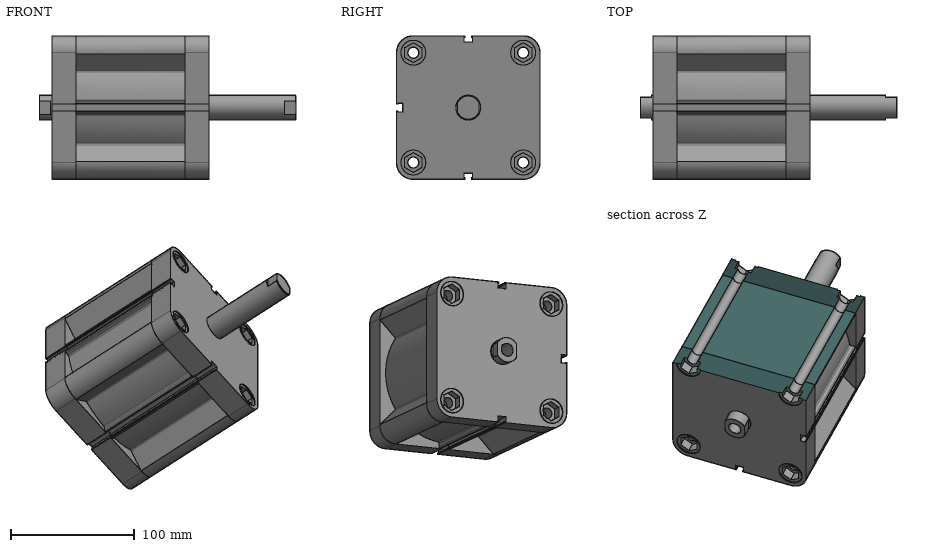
import cadquery as cq
import math


total_length = 207.0
cap_thickness = 19.5
barrel_length = 88.0
rear_stub = 10.0
rear_x = -total_length / 2
rear_cap_x = rear_x + rear_stub
barrel_x = rear_cap_x + cap_thickness
front_cap_x = barrel_x + barrel_length

side = 116.0
half_side = side / 2
corner_radius = 13.7
bolt_offset = half_side - corner_radius

bolt_hole_diameter = 8.7
hex_across_flats = 13.9
hex_depth = 8.7
recess_diameter = 20.0
recess_depth = 0.8

barrel_radius = 53.0
rib_width = 20.7
rib_turns = (45, 135, 225, 315)
root_fillet = 1.0
rail_width = 10.5
rail_height = 57.5
rail_edge_fillet = 1.0
mouth_bevel = 0.6

slot_mouth_width = 5.5
slot_inner_width = 6.8
slot_lip = 1.0
slot_depth = 5.0
slot_turns = (0, 90, 180)

rod_diameter = 20.0
rod_flat_spacing = 17.0
rear_flat_length = 9.0
front_flat_length = 9.3
front_chamfer = 0.6
tap_diameter = 10.5
tap_depth = 20.7
drill_point_angle = 118.0


def bar(x_start, length, width, z_low, z_high):
    """Rectangular bar along X, centred on Y = 0."""
    block = cq.Workplane("XY").box(length, width, z_high - z_low, centered=(False, True, False))
    return block.translate((x_start, 0, z_low))


def cylinder(x_start, length, diameter):
    """Round bar along the X axis."""
    return cq.Workplane("YZ").workplane(offset=x_start).circle(diameter / 2).extrude(length)


def about_x(shape, angle):
    """The shape turned about the X axis."""
    return shape.rotate((0, 0, 0), (1, 0, 0), angle)


def at_corners(x_start):
    """Workplane facing +X with the four bolt centres on its stack."""
    pitch = 2 * bolt_offset
    return cq.Workplane("YZ").workplane(offset=x_start).rect(pitch, pitch, forConstruction=True).vertices()


def square_block(x_start, length):
    """Square bar with rounded corners."""
    block = bar(x_start, length, side, -half_side, half_side)
    return block.edges("|X").fillet(corner_radius)


def t_slots(x_start, length, mouth_height):
    """Cutters for the three T-slots whose mouths lie at mouth_height from the axis."""
    floor = mouth_height - slot_depth
    neck = bar(x_start, length, slot_mouth_width, floor, mouth_height)
    undercut = bar(x_start, length, slot_inner_width, floor, mouth_height - slot_lip)
    slot = neck.union(undercut)
    cutters = cq.Workplane("YZ")
    for turn in slot_turns:
        cutters = cutters.add(about_x(slot, turn))
    return cutters.combine()


def make_cap(x_start, outward):
    """End cap; outward is -1 or +1, the X side that carries the hex openings."""
    cap = square_block(x_start, cap_thickness)
    cap = cap.cut(t_slots(x_start, cap_thickness, half_side))
    cap = cap.cut(cylinder(x_start, cap_thickness, rod_diameter))
    cap = cap.cut(at_corners(x_start).circle(bolt_hole_diameter / 2).extrude(cap_thickness))

    outer_x = x_start if outward < 0 else x_start + cap_thickness
    recess = at_corners(outer_x).circle(recess_diameter / 2).extrude(-outward * recess_depth)
    hex_diameter = hex_across_flats / math.cos(math.pi / 6)
    hexagon = cq.Sketch().regularPolygon(hex_diameter / 2, 6)
    hex_socket = at_corners(outer_x).placeSketch(hexagon).extrude(-outward * hex_depth)
    return cap.cut(recess).cut(hex_socket)


def make_rail():
    """Slotted rail along the top of the barrel, reaching down to the axis."""
    rail = bar(barrel_x, barrel_length, rail_width, 0, rail_height)
    return rail.edges("|X and >Z").fillet(rail_edge_fillet)


def make_mouth_bevel():
    """Cutter that bevels both mouth edges of the top rail's slot."""
    half_mouth = slot_mouth_width / 2
    return (
        cq.Workplane("YZ")
        .workplane(offset=barrel_x)
        .moveTo(-half_mouth - mouth_bevel, rail_height)
        .lineTo(-half_mouth, rail_height - mouth_bevel)
        .lineTo(half_mouth, rail_height - mouth_bevel)
        .lineTo(half_mouth + mouth_bevel, rail_height)
        .close()
        .extrude(barrel_length)
    )


def make_rib():
    """Rib from the axis up to a bolt centre, ending in an arc about that centre."""
    bolt_radius = bolt_offset * math.sqrt(2)
    rib_end = cylinder(barrel_x, barrel_length, 2 * corner_radius).translate((0, 0, bolt_radius))
    rib_flanks = bar(barrel_x, barrel_length, rib_width, 0, bolt_radius + corner_radius)
    rib_stem = bar(barrel_x, barrel_length, rib_width, 0, bolt_radius)
    return rib_stem.union(rib_end.intersect(rib_flanks))


def make_barrel():
    """Round barrel with four diagonal corner ribs and three slotted rails."""
    barrel = cylinder(barrel_x, barrel_length, 2 * barrel_radius)

    rib = make_rib()
    for turn in rib_turns:
        barrel = barrel.union(about_x(rib, turn))

    rail = make_rail()
    for turn in slot_turns:
        barrel = barrel.union(about_x(rail, turn))

    root_tolerance = 0.02

    def is_root(edge):
        """True for an edge on the barrel surface, where a rib or rail meets it."""
        centre = edge.Center()
        return abs(math.hypot(centre.y, centre.z) - barrel_radius) < root_tolerance

    barrel = barrel.edges("|X").filter(is_root).fillet(root_fillet)

    barrel = barrel.cut(t_slots(barrel_x, barrel_length, rail_height))
    mouth = make_mouth_bevel()
    for turn in slot_turns:
        barrel = barrel.cut(about_x(mouth, turn))

    barrel = barrel.cut(cylinder(barrel_x, barrel_length, rod_diameter))
    return barrel.cut(at_corners(barrel_x).circle(bolt_hole_diameter / 2).extrude(barrel_length))


def make_rod():
    """Through rod with wrench flats at both ends and a drilled hole in the rear end."""
    rod = cylinder(rear_x, total_length, rod_diameter).faces(">X").chamfer(front_chamfer)
    flat_ends = ((rear_x, rear_flat_length), (rear_x + total_length - front_flat_length, front_flat_length))
    for x_start, length in flat_ends:
        between_flats = bar(x_start, length, rod_flat_spacing, -rod_diameter, rod_diameter)
        removed = cylinder(x_start, length, 2 * rod_diameter).cut(between_flats)
        rod = rod.cut(removed)

    point_length = tap_diameter / 2 / math.tan(math.radians(drill_point_angle / 2))
    drill = (
        cq.Workplane("XY")
        .moveTo(rear_x, 0)
        .lineTo(rear_x, tap_diameter / 2)
        .lineTo(rear_x + tap_depth, tap_diameter / 2)
        .lineTo(rear_x + tap_depth + point_length, 0)
        .close()
        .revolve(360, (0, 0, 0), (1, 0, 0))
    )
    return rod.cut(drill)


barrel = make_barrel()
caps = [make_cap(x_start, outward) for x_start, outward in ((rear_cap_x, -1), (front_cap_x, 1))]
rod = make_rod()

result = cq.Compound.makeCompound([body.solids().val() for body in (barrel, *caps, rod)])